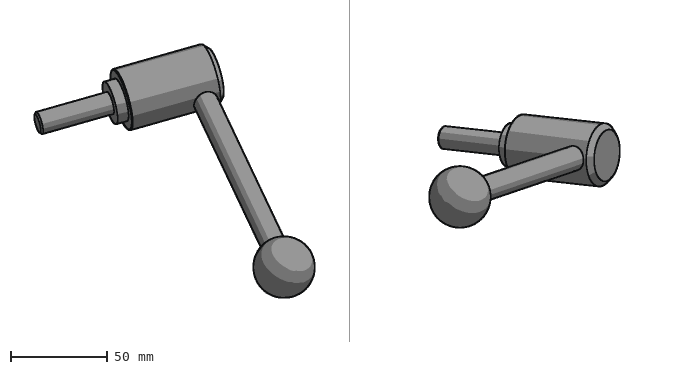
import cadquery as cq

overall_length = 167.0

hub_diameter = 33.0
hub_length = 52.0
hub_back = 11.2
hub_back_chamfer = 3.0
hub_front_chamfer = 0.5

collar_diameter = 23.0
collar_length = 6.0

stud_diameter = 12.0
stud_length = 40.0
stud_chamfer = 1.0

arm_diameter = 13.0

ball_diameter = 32.0
ball_cut_length = 29.0

hub_front_y = hub_back - hub_length
collar_front_y = hub_front_y - collar_length
ball_end_x = overall_length - hub_diameter / 2
ball_center_x = ball_end_x - ball_diameter / 2
ball_flat_x = ball_end_x - ball_cut_length


def cylinder_toward_front(diameter, start_y, length):
    """Cylinder on the hub axis, running from start_y toward -Y."""
    return cq.Workplane("XZ", origin=(0, start_y, 0)).circle(diameter / 2).extrude(length)


def make_hub():
    hub = cylinder_toward_front(hub_diameter, hub_back, hub_length)
    hub = hub.faces(">Y").chamfer(hub_back_chamfer)
    return hub.faces("<Y").chamfer(hub_front_chamfer)


def make_stud():
    stud = cylinder_toward_front(stud_diameter, collar_front_y, stud_length)
    return stud.faces("<Y").chamfer(stud_chamfer)


def make_arm():
    """Round bar from the hub axis to the middle of the ball."""
    return cq.Workplane("YZ").circle(arm_diameter / 2).extrude(ball_center_x)


def make_ball():
    """Ball knob with a flat where the arm enters."""
    ball = cq.Workplane("XY", origin=(ball_center_x, 0, 0)).sphere(ball_diameter / 2)
    keep = cq.Workplane("YZ", origin=(ball_flat_x, 0, 0)).circle(ball_diameter).extrude(ball_diameter)
    return ball.intersect(keep)


collar = cylinder_toward_front(collar_diameter, hub_front_y, collar_length)
result = make_hub().union(collar).union(make_stud()).union(make_arm()).union(make_ball())